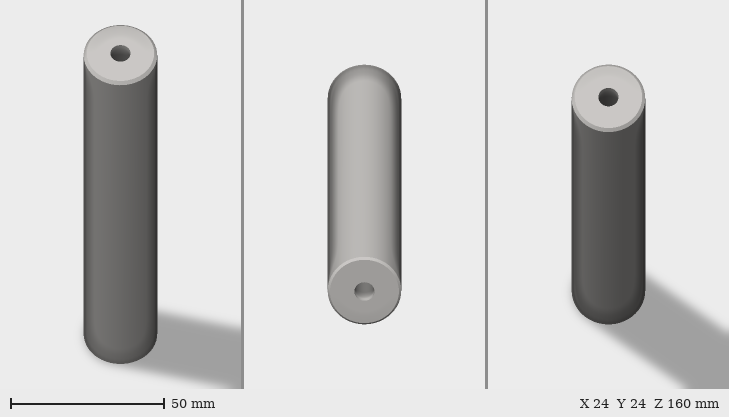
import cadquery as cq

length = 160.0
outer_diameter = 24.0
bore_diameter = 6.5
top_chamfer = 1.0
bottom_chamfer = 0.75


def make_roller():
    """Round bar along Z with chamfered ends and a central through bore."""
    bar = cq.Workplane("XY").circle(outer_diameter / 2).extrude(length)
    bar = bar.faces(">Z").edges().chamfer(top_chamfer)
    bar = bar.faces("<Z").edges().chamfer(bottom_chamfer)
    return bar.faces(">Z").workplane().hole(bore_diameter)


roller = make_roller()

result = cq.Compound.makeCompound([roller.val()])